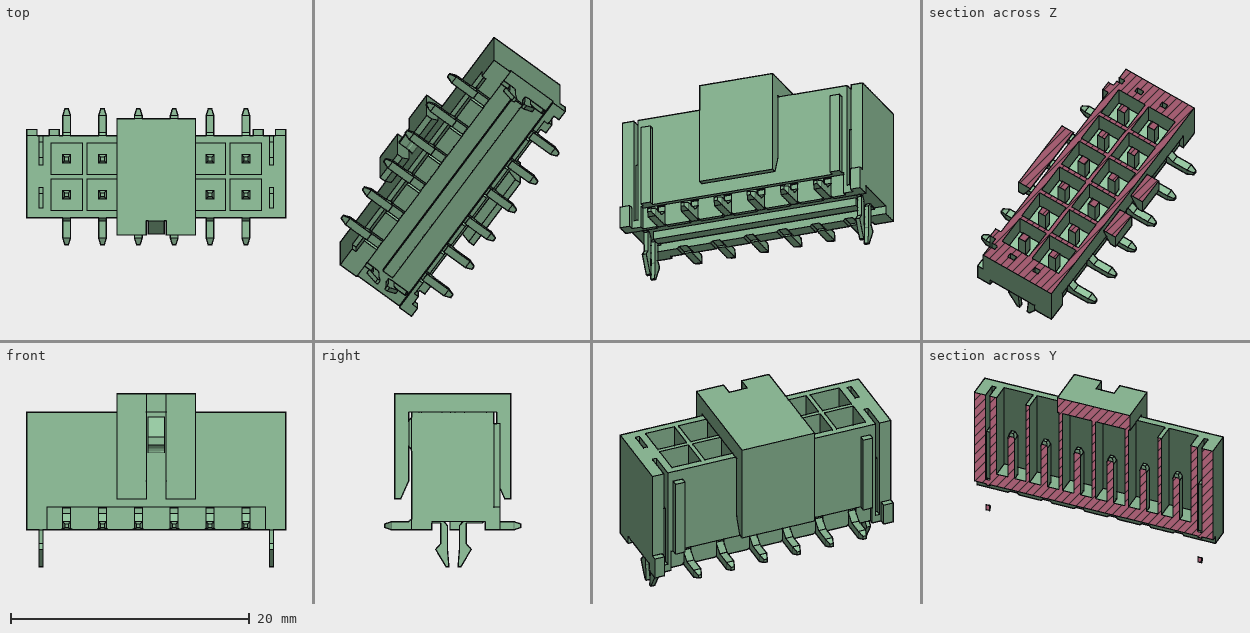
import cadquery as cq

columns = 6
pitch = 3.0
row_y = pitch / 2
pin_width = 0.66
pin_thickness = 0.7

body_x = 21.7
body_y = 6.88
body_top = 9.85
half_x = body_x / 2
half_y = body_y / 2
cavity_size = 2.63
cavity_floor = 2.0

recess_x = 18.3
recess_depth = 0.4
recess_top = 1.9
slot_depth = 0.15
slot_top = 1.83
slot_mouth_x = 1.0
slot_mouth_z = 0.16

channel_y_min = -1.74
channel_y_max = 2.7
channel_top = 0.7
rib_y_min = -0.25
rib_y_max = 0.75

wall_pad_depth = 0.53
foot_x = 0.88
back_rib_x = 0.86
back_rib_outer_x = 8.97
back_rib_top = 8.9

cap_x = 6.6
cap_y = 9.74
cap_top = 11.4
cap_inner_y = 7.36
leg_bottom = 2.6
leg_taper_top = 4.1
leg_tip_thickness = 0.52
cap_notch_x = 1.64

latch_x = 1.38
latch_depth = 1.35
latch_top = 9.44
latch_nose_top = 7.78
latch_nose_bottom = 7.12
latch_root_radius = 0.65

pin_top = 6.5
pin_tip_length = 0.5
pin_tip_size = 0.32
tail_end_y = 5.7
tail_tip_length = 0.57
tail_tip_size = 0.3
tail_bend_y = 3.7
tail_bend_top = 1.37

clip_x = 9.64
clip_thickness = 0.36
clip_y = 0.06
clip_bottom = -3.1
clip_leg_inner = 0.49
clip_leg_outer = 1.07
clip_barb_y = 1.5
clip_barb_z = -1.62
clip_barb_top = -1.15
clip_tip_inner = 0.37
clip_tip_outer = 0.62
clip_relief_y = 0.8
clip_relief_z = 0.35
clip_bar_bottom = 0.57
clip_bar_top = 1.2
clip_bar_y_max = 2.6
clip_bar_corner = 0.12
clip_blade_top = 6.0
back_blade_y = (1.6, 2.92)
front_blade_y = (-2.61, -1.4)
back_slot_y = (1.0, half_y)
front_slot_y = (-2.61, -0.89)


def box(x_range, y_range, z_range):
    """Axis-aligned block from its (min, max) limits."""
    size = [high - low for low, high in (x_range, y_range, z_range)]
    corner = (x_range[0], y_range[0], z_range[0])
    return cq.Workplane("XY").box(*size, centered=False).translate(corner)


def centred(size):
    return (-size / 2, size / 2)


def plate(points, thickness):
    """Plate with a (y, z) outline, centred on x = 0."""
    return cq.Workplane("YZ").polyline(points).close().extrude(thickness / 2, both=True)


def on_both_sides(solid):
    """The solid together with its mirror image in the plane x = 0."""
    return solid.union(solid.mirror("YZ"))


def column_positions():
    return [(i - (columns - 1) / 2) * pitch for i in range(columns)]


def make_slot():
    """Tail slot in the -Y recess wall, with a flared mouth that runs on into the channel."""
    slot_back = recess_depth + slot_depth - half_y
    slot = box(centred(pin_width), (-half_y, slot_back), (0, slot_top))
    half = pin_width / 2
    half_mouth = slot_mouth_x / 2
    flare = [(-half_mouth, 0), (half_mouth, 0), (half, slot_mouth_z), (-half, slot_mouth_z)]
    mouth = cq.Workplane("XZ").polyline(flare).close().extrude(half_y + channel_y_min)
    return slot.union(mouth.translate((0, channel_y_min, 0)))


def make_body():
    body = box(centred(body_x), centred(body_y), (0, body_top))

    pad_y = (half_y, half_y + wall_pad_depth)
    foot = box((half_x - foot_x, half_x), pad_y, (0, recess_top))
    rib_x = (back_rib_outer_x - back_rib_x, back_rib_outer_x)
    back_rib = box(rib_x, pad_y, (recess_top, back_rib_top))
    body = body.union(on_both_sides(foot)).union(on_both_sides(back_rib))

    body = body.cut(box(centred(body_x), (channel_y_min, channel_y_max), (0, channel_top)))
    body = body.union(box(centred(recess_x), (rib_y_min, rib_y_max), (0, channel_top)))

    recess = box(centred(recess_x), (-half_y, recess_depth - half_y), (0, recess_top))
    body = body.cut(recess).cut(recess.mirror("XZ"))
    cavity = box(centred(cavity_size), centred(cavity_size), (cavity_floor, body_top))
    slot = make_slot()
    for x in column_positions():
        front_slot = slot.translate((x, 0, 0))
        body = body.cut(front_slot).cut(front_slot.mirror("XZ"))
        for y in (-row_y, row_y):
            body = body.cut(cavity.translate((x, y, 0)))

    slot_x = (clip_x - clip_thickness / 2, clip_x + clip_thickness / 2)
    for slot_y in (back_slot_y, front_slot_y):
        clip_slot = box(slot_x, slot_y, (channel_top, body_top))
        body = body.cut(on_both_sides(clip_slot))
    return body


def make_latch():
    """Ramp with an upright nose and a hollow rounded underside."""
    nose_y = -half_y - latch_depth
    arc_y = -half_y - latch_root_radius
    root_z = latch_nose_bottom - latch_root_radius
    diagonal = latch_root_radius * 0.5 ** 0.5
    return (
        cq.Workplane("YZ")
        .moveTo(-half_y, latch_top)
        .lineTo(nose_y, latch_nose_top)
        .lineTo(nose_y, latch_nose_bottom)
        .lineTo(arc_y, latch_nose_bottom)
        .threePointArc((arc_y + diagonal, root_z + diagonal), (-half_y, root_z))
        .close()
        .extrude(latch_x / 2, both=True)
    )


def make_cap():
    """Bridge over the housing with a tapered leg on each long side."""
    outer = cap_y / 2
    inner = cap_inner_y / 2
    tip = outer - leg_tip_thickness
    half_outline = [
        (outer, cap_top),
        (outer, leg_bottom),
        (tip, leg_bottom),
        (inner, leg_taper_top),
        (inner, body_top),
    ]
    mirrored = [(-y, z) for y, z in reversed(half_outline)]
    cap = plate(half_outline + mirrored, cap_x)
    return cap.cut(box(centred(cap_notch_x), (-outer, -inner), (leg_bottom, cap_top)))


def make_tip(plane, tip_size, length):
    """Pointed end tapering from the pin section to a small square."""
    return (
        cq.Workplane(plane)
        .rect(pin_width, pin_thickness)
        .workplane(offset=length)
        .rect(tip_size, tip_size)
        .loft()
    )


def make_front_pin():
    """Contact of the -Y row: upright blade and bent surface-mount tail."""
    shoulder_z = pin_top - pin_tip_length
    blade = box(centred(pin_width), centred(pin_thickness), (cavity_floor, shoulder_z))
    tip = make_tip("XY", pin_tip_size, pin_tip_length)
    blade = blade.union(tip.translate((0, 0, shoulder_z))).translate((0, -row_y, 0))

    leg_y = recess_depth + slot_depth - half_y
    tip_start_y = tail_tip_length - tail_end_y
    tail = plate(
        [
            (leg_y, 0),
            (tip_start_y, 0),
            (tip_start_y, pin_thickness),
            (-tail_bend_y, pin_thickness),
            (leg_y, tail_bend_top),
        ],
        pin_width,
    )
    tail_tip = make_tip("XZ", tail_tip_size, tail_tip_length)
    tail_tip = tail_tip.translate((0, tip_start_y, pin_thickness / 2))
    return blade.union(tail).union(tail_tip)


def make_clip():
    """Board lock: cross bar, two barbed legs below and two blades above."""
    thickness = clip_thickness
    leg = [
        (clip_relief_y, clip_bar_top),
        (clip_relief_y, channel_top),
        (clip_leg_inner, clip_relief_z),
        (clip_leg_inner, clip_barb_z),
        (clip_tip_inner, clip_bottom),
        (clip_tip_outer, clip_bottom),
        (clip_barb_y, clip_barb_z),
        (clip_leg_outer, clip_barb_top),
        (clip_leg_outer, clip_bar_top),
    ]
    clip = plate([(clip_y + y, z) for y, z in leg], thickness)
    clip = clip.union(plate([(clip_y - y, z) for y, z in leg], thickness))

    across = centred(thickness)
    bar_z = (clip_bar_bottom, clip_bar_top)
    back_bar = box(across, (clip_y + clip_relief_y, clip_bar_y_max), bar_z)
    back_bar = back_bar.edges(">Y and <Z").chamfer(clip_bar_corner)
    front_bar = box(across, (channel_y_min, clip_y - clip_relief_y), bar_z)
    bridge = box(across, centred(2 * clip_leg_outer), (channel_top, clip_bar_top))
    clip = clip.union(back_bar).union(front_bar).union(bridge)

    for blade_y in (back_blade_y, front_blade_y):
        clip = clip.union(box(across, blade_y, (channel_top, clip_blade_top)))
    return clip.translate((clip_x, 0, 0))


result = make_body().union(make_latch()).union(make_cap()).union(on_both_sides(make_clip()))
front_pin = make_front_pin()
for column_x in column_positions():
    pin = front_pin.translate((column_x, 0, 0))
    result = result.union(pin).union(pin.mirror("XZ"))